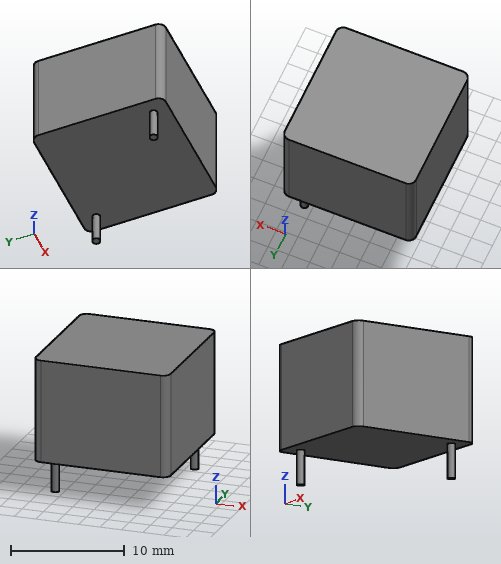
import cadquery as cq

case_side = 12.57
case_height = 9.52
corner_radius = 0.7

pin_diameter = 0.7
pin_length = 3.1
pin_spacing = 9.53


def make_case():
    """Case standing on the XY plane, centred on the Z axis."""
    block = cq.Workplane("XY").box(case_side, case_side, case_height, centered=(True, True, False))
    return block.edges("|Z").fillet(corner_radius)


def make_pins():
    """Pins hanging from the underside at two opposite corners."""
    offset = pin_spacing / 2
    centres = [(-offset, -offset), (offset, offset)]
    return cq.Workplane("XY").pushPoints(centres).circle(pin_diameter / 2).extrude(-pin_length)


result = make_case().union(make_pins())